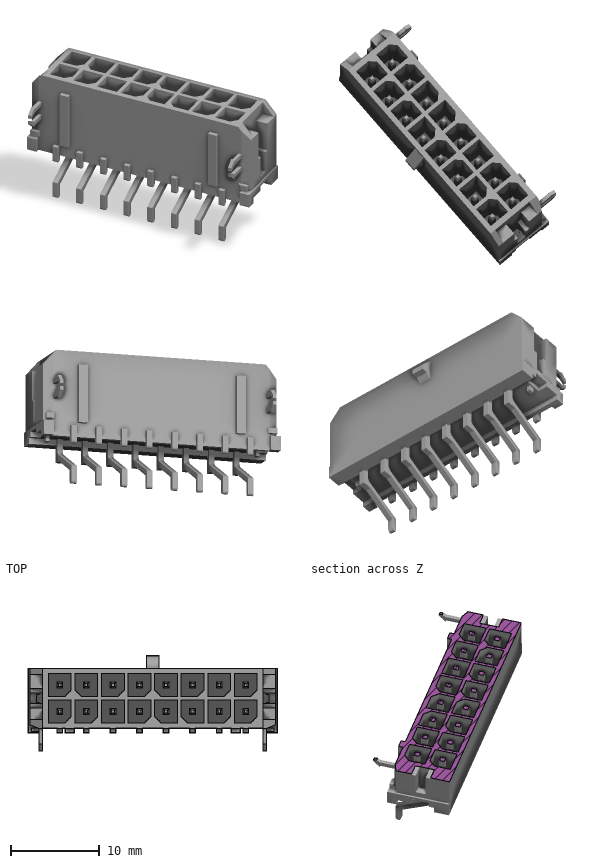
import cadquery as cq


overall_width = 28.15
depth = 6.78
height = 9.95
mid_y = depth / 2
core_half = 12.45
front_half = 12.86
body_half = 13.88
corner_cut = 0.42
ledge_z = 8.33
back_post = 0.68
front_post = 1.05
flange_half = overall_width / 2
flange_height = 1.63
stand_off = 0.5
channel_front = 0.6
channel_back = 5.0
channel_height = 0.68

wide_slot = 2.2
wide_slot_bottom = 4.85
narrow_slot = 1.18
narrow_slot_bottom = 2.3
clip_pocket_depth = 0.55
clip_bulge = 0.9
clip_bulge_half = 13.12
flange_notch = 2.03
flange_notch_top = 1.27

columns = 8
column_span = 21.0
pitch = column_span / (columns - 1)
cavity = 2.55
cavity_key = 0.7
cavity_floor = 2.25
keys_by_row = ["RR-RLLRR", "RLRRLRRR"]
front_row_y = 1.91
contact = 0.65
pin_tip_width = 0.3
pin_taper = 0.45
pin_top = 7.32
pin_embed = 0.28
tail_end_round = 0.28

front_tail_top = 1.27
front_tail_bottom = -0.8
tail_thickness = 0.62

rear_tail_inner = 4.55
rear_tail_outer = 5.25
rear_tail_embed = 0.28
rear_tail_heel = -1.97
rear_tail_bottom = -5.45
rear_heel_y = 4.08
rear_slope_top = (rear_tail_inner, -1.05)
rear_bend_radius = 0.55
shin_top = -3.43
shin_inner_top = -3.85

rib_inner = 8.87
rib_width = 1.05
latch_width = 1.45
latch_reach = 1.44
latch_catch = 0.7
latch_top = 9.37
latch_nose_top = 7.75
latch_nose_bottom = 7.07
latch_root = 6.42

clip_half = front_half
clip_thickness = clip_half - core_half
prong_mid_z = 5.35
prong_inner = 0.6
prong_outer = 1.1
barb_outer = 1.3
tip_inner = 0.17
barb_y = -1.75
tip_y = -2.55
clip_embed = 0.28
clip_leg_width = 0.7
clip_leg_half = 12.67
tab_inner = 12.58
tab_outer = 13.7
tab_bottom = 1.95
tab_top = 2.55
tab_front = -0.37
tab_back = tab_front + clip_thickness
tab_bend = 0.4


def block(x0, x1, y0, y1, z0, z1):
    """Box between two opposite corners."""
    return cq.Workplane("XY").box(x1 - x0, y1 - y0, z1 - z0, centered=False).translate((x0, y0, z0))


def both_ends(right_end):
    """The given +X feature together with its mirror image at -X."""
    return right_end.union(right_end.mirror("YZ"))


def side_profile(points, x_start, width):
    """Outline of (Y, Z) points, extruded along +X from x_start."""
    return cq.Workplane("YZ").workplane(offset=x_start).polyline(points).close().extrude(width)


def column_centers():
    return [(i - (columns - 1) / 2) * pitch for i in range(columns)]


def housing_shell():
    plan = [
        (-front_half, 0), (front_half, 0), (body_half, corner_cut), (body_half, depth),
        (-body_half, depth), (-body_half, corner_cut),
    ]
    shell = cq.Workplane("XY").polyline(plan).close().extrude(height)
    elevation = [
        (-body_half, 0), (body_half, 0), (body_half, ledge_z), (core_half, height),
        (-core_half, height), (-body_half, ledge_z),
    ]
    shell = shell.intersect(cq.Workplane("XZ").polyline(elevation).close().extrude(-depth))
    flange = block(front_half, flange_half, -stand_off, depth, 0, flange_height)
    flange = flange.union(block(core_half, flange_half, corner_cut, depth, 0, flange_height))
    return shell.union(both_ends(flange))


def end_cutouts():
    def slot(width, bottom, top, inner=core_half, outer=flange_half):
        return block(inner, outer, mid_y - width / 2, mid_y + width / 2, bottom, top)

    pocket_bottom = narrow_slot_bottom - clip_pocket_depth
    cut = block(core_half, flange_half, front_post, depth - back_post, ledge_z, height)
    cut = cut.union(slot(wide_slot, wide_slot_bottom, height))
    cut = cut.union(slot(narrow_slot, narrow_slot_bottom, height))
    cut = cut.union(slot(narrow_slot, pocket_bottom, height, outer=clip_half))
    cut = cut.union(slot(clip_bulge, pocket_bottom, height, outer=clip_bulge_half))
    cut = cut.union(slot(flange_notch, 0, flange_notch_top, inner=front_half))
    return both_ends(cut)


def underside_channel():
    return block(-flange_half, flange_half, channel_front, channel_back, 0, channel_height)


def keyed_cavity(x, y, key):
    hole = cq.Workplane("XY").box(cavity, cavity, height - cavity_floor, centered=(True, True, False))
    if key == "R":
        hole = hole.edges("|Z and >X and <Y").chamfer(cavity_key)
    elif key == "L":
        hole = hole.edges("|Z and <X and <Y").chamfer(cavity_key)
    return hole.translate((x, y, cavity_floor))


def pin(x, y):
    shank_top = pin_top - pin_taper
    shank = block(-contact / 2, contact / 2, -contact / 2, contact / 2, cavity_floor - pin_embed, shank_top)
    tip = (
        cq.Workplane("XY").workplane(offset=shank_top).rect(contact, contact)
        .workplane(offset=pin_taper).rect(pin_tip_width, pin_tip_width).loft(ruled=True)
    )
    return shank.union(tip).translate((x, y, 0))


def front_tail(x):
    tail = block(
        x - contact / 2, x + contact / 2, -stand_off, tail_thickness - stand_off,
        front_tail_bottom, front_tail_top,
    )
    return tail.edges("|X and <Z").fillet(tail_end_round)


def rear_tail(x):
    shin_inner = tail_thickness - stand_off
    root_z = channel_height + rear_tail_embed
    outline = [
        (rear_tail_inner, root_z), rear_slope_top, (-stand_off, shin_top),
        (-stand_off, rear_tail_bottom), (shin_inner, rear_tail_bottom), (shin_inner, shin_inner_top),
        (rear_heel_y, rear_tail_heel), (rear_tail_outer, rear_tail_heel), (rear_tail_outer, root_z),
    ]
    tail = side_profile(outline, x - contact / 2, contact)
    tail = tail.edges("|X and <Z").fillet(tail_end_round)
    bend = cq.NearestToPointSelector((x,) + rear_slope_top)
    return tail.edges("|X").edges(bend).fillet(rear_bend_radius)


def latch():
    nose = depth + latch_reach
    outline = [
        (depth, latch_top), (nose, latch_nose_top), (nose, latch_nose_bottom),
        (depth + latch_catch, latch_nose_bottom), (depth, latch_root),
    ]
    return side_profile(outline, -latch_width / 2, latch_width)


def front_ribs():
    return both_ends(block(rib_inner, rib_inner + rib_width, -stand_off, 0, flange_height, ledge_z))


def hold_down_clips():
    clip = block(
        clip_leg_half - clip_thickness, clip_leg_half,
        mid_y - clip_leg_width / 2, mid_y + clip_leg_width / 2,
        0, channel_height + clip_embed,
    )
    for side in (1, -1):
        prong = [
            (clip_embed, prong_mid_z + side * prong_inner), (barb_y, prong_mid_z + side * prong_inner),
            (tip_y, prong_mid_z + side * tip_inner), (tip_y, prong_mid_z + side * prong_inner),
            (barb_y, prong_mid_z + side * barb_outer), (barb_y, prong_mid_z + side * prong_outer),
            (clip_embed, prong_mid_z + side * prong_outer),
        ]
        clip = clip.union(side_profile(prong, core_half, clip_thickness))
    tab = block(tab_inner, tab_outer, tab_front, tab_back, tab_bottom, tab_top)
    clip = clip.union(tab.edges("|Z and <X and <Y").fillet(tab_bend))
    return both_ends(clip)


result = housing_shell().cut(end_cutouts()).cut(underside_channel())
for row, keys in enumerate(keys_by_row):
    row_y = front_row_y + row * pitch
    for x, key in zip(column_centers(), keys):
        result = result.cut(keyed_cavity(x, row_y, key), clean=False).union(pin(x, row_y), clean=False)
for x in column_centers():
    result = result.union(front_tail(x), clean=False).union(rear_tail(x), clean=False)
result = result.union(latch()).union(front_ribs()).union(hold_down_clips())